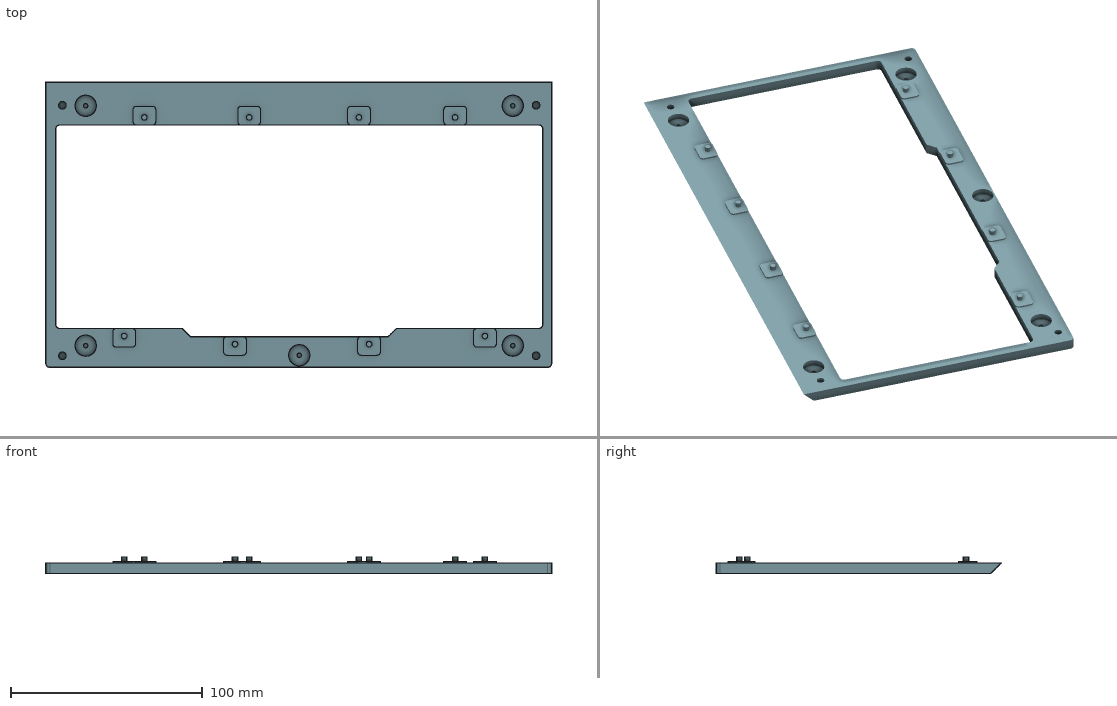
import cadquery as cq

LENGTH = 263.6
DEPTH = 148.7
HEIGHT = 8.7
PLATE_THICKNESS = 5.5
CENTER_X = 0.3
OUTER_CORNER_RADIUS = 2.0

WINDOW_HALF_WIDTH = 126.8
WINDOW_BACK = 52.0
WINDOW_FRONT = -54.0
WINDOW_CORNER_RADIUS = 2.0
RECESS_LEFT = -60.6
RECESS_RIGHT = 51.0
RECESS_STEP = 4.2
RECESS_FRONT = WINDOW_FRONT - RECESS_STEP

CORNER_HOLE_DIAMETER = 4.0
CORNER_HOLE_DEPTH = 4.0
CORNER_HOLE_X = 123.5
CORNER_HOLE_BACK_Y = 62.2
CORNER_HOLE_FRONT_Y = -68.3

POCKET_DIAMETER = 11.0
POCKET_DEPTH = 3.5
PILOT_DIAMETER = 2.27
PILOT_DEPTH = 4.5
POCKET_X = 111.3
POCKET_BACK_Y = 62.0
POCKET_FRONT_Y = -63.0
MIDDLE_POCKET_Y = -68.0

PAD_WIDTH = 11.9
PAD_THICKNESS = 0.8
PAD_DEPTH = 9.8
PAD_CORNER_RADIUS = 1.8
PIN_DIAMETER = 3.0
PIN_SETBACK = 4.0
BACK_PAD_XS = (-80.5, -25.8, 31.5, 81.5)
FRONT_PAD_XS = (-91.0, 97.0)
RECESS_PAD_XS = (-33.2, 36.6)


def make_plate():
    """Plate with a 45 degree undercut along its back edge and rounded front corners."""
    front = -DEPTH / 2
    back = DEPTH / 2
    profile = [
        (front, 0),
        (back - PLATE_THICKNESS, 0),
        (back, PLATE_THICKNESS),
        (front, PLATE_THICKNESS),
    ]
    plate = cq.Workplane("YZ").polyline(profile).close().extrude(LENGTH / 2, both=True)
    return plate.faces("<Y").edges("|Z").fillet(OUTER_CORNER_RADIUS)


def make_window():
    """Cutter for the window: a rounded rectangle joined to the recess with sloping ends."""
    window_depth = WINDOW_BACK - WINDOW_FRONT
    opening = (
        cq.Workplane("XY")
        .center(CENTER_X, (WINDOW_BACK + WINDOW_FRONT) / 2)
        .rect(2 * WINDOW_HALF_WIDTH, window_depth)
        .extrude(PLATE_THICKNESS)
        .edges("|Z")
        .fillet(WINDOW_CORNER_RADIUS)
    )
    recess_outline = [
        (RECESS_LEFT, WINDOW_FRONT),
        (RECESS_LEFT + RECESS_STEP, RECESS_FRONT),
        (RECESS_RIGHT - RECESS_STEP, RECESS_FRONT),
        (RECESS_RIGHT, WINDOW_FRONT),
    ]
    recess = cq.Workplane("XY").polyline(recess_outline).close().extrude(PLATE_THICKNESS)
    return opening.union(recess)


def mirrored_points(offset, ys):
    """Points at the given offset on both sides of the center line, at each y."""
    return [(CENTER_X + side * offset, y) for side in (-1, 1) for y in ys]


def cut_holes(plate):
    """Sink the blind corner holes and the pockets with their pilot holes into the top face."""
    corner_holes = mirrored_points(CORNER_HOLE_X, (CORNER_HOLE_BACK_Y, CORNER_HOLE_FRONT_Y))
    pockets = mirrored_points(POCKET_X, (POCKET_BACK_Y, POCKET_FRONT_Y))
    pockets.append((CENTER_X, MIDDLE_POCKET_Y))
    top = cq.Workplane("XY", origin=(0, 0, PLATE_THICKNESS))
    holes = (
        (corner_holes, CORNER_HOLE_DIAMETER, CORNER_HOLE_DEPTH),
        (pockets, POCKET_DIAMETER, POCKET_DEPTH),
        (pockets, PILOT_DIAMETER, PILOT_DEPTH),
    )
    for points, diameter, depth in holes:
        plate = plate.cut(top.pushPoints(points).circle(diameter / 2).extrude(-depth))
    return plate


def make_pad(x, edge_y, outward):
    """Pad flush with the window edge at edge_y, reaching outward (+1 back, -1 front), with its pin."""
    top = cq.Workplane("XY", origin=(x, edge_y, PLATE_THICKNESS))
    pad = (
        top.center(0, outward * PAD_DEPTH / 2)
        .rect(PAD_WIDTH, PAD_DEPTH)
        .extrude(PAD_THICKNESS)
        .edges("|Z")
        .fillet(PAD_CORNER_RADIUS)
    )
    pin = top.center(0, outward * PIN_SETBACK).circle(PIN_DIAMETER / 2).extrude(HEIGHT - PLATE_THICKNESS)
    return pad.union(pin)


PAD_ROWS = (
    (BACK_PAD_XS, WINDOW_BACK, 1),
    (FRONT_PAD_XS, WINDOW_FRONT, -1),
    (RECESS_PAD_XS, RECESS_FRONT, -1),
)

result = cut_holes(make_plate().cut(make_window()))
for pad_xs, edge_y, outward in PAD_ROWS:
    for pad_x in pad_xs:
        result = result.union(make_pad(pad_x, edge_y, outward))